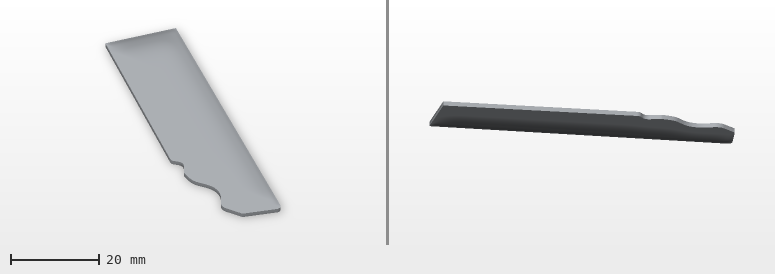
import cadquery as cq

length = 70.0
width = 18.05
thickness = 1.0
square_end_width = 16.95

tip_radius_start = (68.85, width)
tip_radius_middle = (69.7, 17.7)
tip_radius_end = (length, 16.95)

slant_bottom = (69.1, 9.3)
chin_corner_middle = (68.9, 8.9)
chin_top = (68.6, 8.55)

nose_start = (66.0, 6.1)
nose_middle = (64.6, 5.45)
nose_end = (63.25, 5.75)

hollow_crest = (60.2, 6.5)
hollow_side = (57.7, 5.9)
wave_middle = (55.6, 4.0)
belly_side = (53.6, 2.2)
belly_bottom = (51.1, 1.4)
wave_end = (48.3, 2.0)
wave_points = [hollow_crest, hollow_side, wave_middle, belly_side, belly_bottom, wave_end]
wave_start_direction = (-1, 0.37)
wave_end_direction = (-1, 0.33)

step_crest_middle = (47.2, 2.1)
step_crest_end = (46.4, 1.55)
step_foot_start = (45.85, 0.7)
step_foot_middle = (45.4, 0.2)
step_foot_end = (44.65, 0.0)

outline = (
    cq.Workplane("XY")
    .moveTo(0, 0)
    .lineTo(0, square_end_width)
    .lineTo(*tip_radius_start)
    .threePointArc(tip_radius_middle, tip_radius_end)
    .lineTo(*slant_bottom)
    .threePointArc(chin_corner_middle, chin_top)
    .lineTo(*nose_start)
    .threePointArc(nose_middle, nose_end)
    .spline(wave_points, tangents=[wave_start_direction, wave_end_direction], includeCurrent=True)
    .threePointArc(step_crest_middle, step_crest_end)
    .lineTo(*step_foot_start)
    .threePointArc(step_foot_middle, step_foot_end)
    .close()
)

result = outline.extrude(thickness)